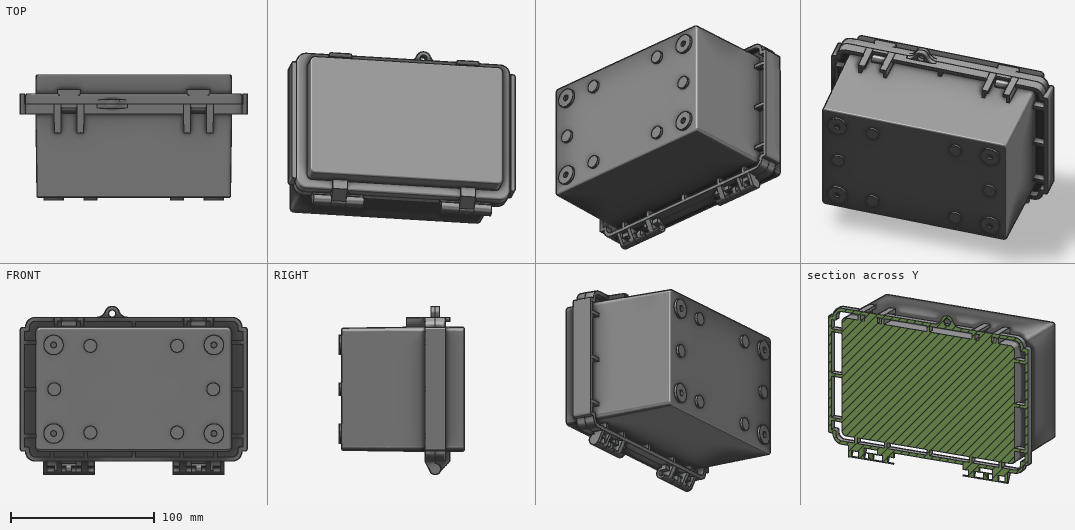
import cadquery as cq
import math


box_half_x = 68.3
box_half_z = 43.5
wall_draft = 0.8
wall_corner_radius = 3.6
wall_overlap = 1.6
end_edge_radius = 1.3
base_depth = 65.1
lid_height = 20.2

flange_half_x = 75.4
flange_half_z = 50.1
flange_corner_radius = 7.1
flange_thickness = 7.1
flange_edge_radius = 1.5
base_flange_draft = 1.0
rim_width = 2.8
pocket_bend_radius = 1.5
pocket_depth = 5.2

rail_half_x = 79.0
rail_half_z = flange_half_z - flange_corner_radius
rail_width = 3.2
rail_corner_radius = 1.6

rib_width = 2.5
side_rib_spacing = 32.5
lower_rib_places = (-56.9, -33.5, 0.0, 33.5, 56.9)

latch_x = 45.0
arm_inner = 5.5
arm_outer = 10.6
arm_tip_inset = 0.5
arm_tip_drop = 0.3
arm_plate = 2.5
arm_web = 2.5
arm_length = 20.0
latch_lip = 2.76
bar_radius = 4.0
bar_width = 10.5
bar_edge_radius = 0.8
tab_half_width = 7.9
tab_thickness = 2.8
tab_height = 10.1

ear_x = -15.0
ear_z = 52.6
ear_radius = 5.0
ear_half_thickness = 3.0
ear_foot_half = 10.6
ear_edge_radius = 0.6
ear_root = 1.6
ear_hole_diameter = 4.9

pin_z = -55.54
knuckle_radius = 3.87
hinge_root = 1.6
hinge_inner = 27.3
hinge_lid_inner = 40.1
hinge_lid_outer = 50.4
hinge_outer = 62.9
knuckle_shoulder_y = 3.6
knuckle_shoulder_z = pin_z - math.sqrt(knuckle_radius**2 - knuckle_shoulder_y**2)
groove_radius = 2.0
base_grooves = ((27.3, 31.8), (36.2, 40.1), (55.1, 60.4))
lid_grooves = ((40.1, 43.5), (47.1, 50.4))
recess_shoulder = (53.4, 55.1)

pad_height = 1.7
corner_pad_radius = 6.8
corner_pad_x = 55.8
corner_pad_z = 30.8
pad_hole_diameter = 4.1
small_pad_radius = 4.5
small_pad_x = 30.2
small_pad_z = 30.2
side_pad_x = 55.3


def block(x_min, x_max, y_min, y_max, z_min, z_max):
    """Box between the given limits."""
    size = (x_max - x_min, y_max - y_min, z_max - z_min)
    return cq.Workplane("XY").box(*size, centered=False).translate((x_min, y_min, z_min))


def y_plane(y=0):
    """Plane at height y with local axes +X and +Z; extrusions run towards -Y."""
    return cq.Workplane("XZ", origin=(0, y, 0))


def rounded_rectangle(half_x, half_z, radius, length, taper=0):
    """Rounded rectangle drawn on Y = 0 and extruded towards -Y (or +Y if length is negative)."""
    sketch = cq.Sketch().rect(2 * half_x, 2 * half_z).vertices().fillet(radius)
    return y_plane().placeSketch(sketch).extrude(length, taper=taper)


def walls(length):
    """Drafted box block with rounded end edges, reaching from Y = 0 to -length."""
    body = rounded_rectangle(box_half_x, box_half_z, wall_corner_radius, length, wall_draft)
    return body.faces("<Y" if length > 0 else ">Y").edges().fillet(end_edge_radius)


def padlock_ear():
    """Lug round a hole, blended tangentially into the flange top by a concave arc on each side."""
    rise = ear_z - flange_half_z
    blend_radius = (ear_foot_half**2 + rise**2 - ear_radius**2) / (2 * (rise + ear_radius))
    blend_z = flange_half_z + blend_radius
    slope = math.atan2(blend_z - ear_z, ear_foot_half)
    joint = (ear_radius * math.cos(slope), ear_z + ear_radius * math.sin(slope))
    middle = (slope + math.pi + 1.5 * math.pi) / 2
    blend_mid = (ear_foot_half + blend_radius * math.cos(middle), blend_z + blend_radius * math.sin(middle))
    root_z = flange_half_z - ear_root
    ear = (
        cq.Workplane("XZ", origin=(ear_x, ear_half_thickness, 0))
        .moveTo(-ear_foot_half, flange_half_z)
        .threePointArc((-blend_mid[0], blend_mid[1]), (-joint[0], joint[1]))
        .threePointArc((0, ear_z + ear_radius), joint)
        .threePointArc(blend_mid, (ear_foot_half, flange_half_z))
        .lineTo(ear_foot_half, root_z)
        .lineTo(-ear_foot_half, root_z)
        .close()
        .extrude(2 * ear_half_thickness)
    )
    ear = ear.faces("|Y").edges("%CIRCLE").fillet(ear_edge_radius)
    hole = (
        cq.Workplane("XZ", origin=(ear_x, ear_half_thickness, ear_z))
        .circle(ear_hole_diameter / 2)
        .extrude(2 * ear_half_thickness)
    )
    return ear.cut(hole)


def half_ear(y_min, y_max):
    """The part of the padlock ear between two Y limits."""
    keep = block(ear_x - ear_foot_half, ear_x + ear_foot_half, y_min, y_max, 0, ear_z + ear_radius)
    return padlock_ear().intersect(keep)


def knuckle(shoulder, x_min, x_max):
    """Pin cylinder joined to the flange by a prism; `shoulder` lists the (y, z) points of its outer side."""
    points = [(0, hinge_root - flange_half_z), *shoulder, (0, knuckle_shoulder_z)]
    plane = cq.Workplane("YZ", origin=(x_min, 0, 0))
    prism = plane.polyline(points).close().extrude(x_max - x_min)
    cylinder = plane.center(0, pin_z).circle(knuckle_radius).extrude(x_max - x_min)
    return prism.union(cylinder)


def pin_groove(x_min, x_max):
    """Cut that opens a knuckle towards -Y and leaves a round trough for the pin."""
    slot = block(x_min, x_max, -flange_thickness, 0, pin_z - groove_radius, pin_z + groove_radius)
    bore = cq.Workplane("YZ", origin=(x_min, 0, pin_z)).circle(groove_radius).extrude(x_max - x_min)
    return slot.union(bore)


def gusset_recess(x_min, x_max):
    """Cut that sets a base knuckle back to its pin cylinder, beside a full-depth gusset."""
    return block(x_min, x_max, -flange_thickness, -knuckle_radius, pin_z - knuckle_radius, -flange_half_z)


def base_hinge():
    """Two base knuckles on the +X side."""
    shoulder = [
        (-flange_thickness, hinge_root - flange_half_z),
        (-flange_thickness, -flange_half_z),
        (-knuckle_shoulder_y, knuckle_shoulder_z),
    ]
    hinge = knuckle(shoulder, hinge_inner, hinge_lid_inner)
    hinge = hinge.union(knuckle(shoulder, hinge_lid_outer, hinge_outer))
    for x_min, x_max in base_grooves:
        hinge = hinge.cut(pin_groove(x_min, x_max)).cut(gusset_recess(x_min, x_max))
    return hinge.cut(gusset_recess(*recess_shoulder))


def lid_hinge():
    """The lid knuckle between the base knuckles on the +X side, carried by an arm from the lid wall."""
    arm_root_z = wall_overlap - box_half_z
    shoulder = [
        (0, arm_root_z),
        (tab_height, arm_root_z),
        (tab_height, -flange_half_z),
        (knuckle_shoulder_y, knuckle_shoulder_z),
    ]
    hinge = knuckle(shoulder, hinge_lid_inner, hinge_lid_outer)
    for x_min, x_max in lid_grooves:
        hinge = hinge.cut(pin_groove(x_min, x_max))
    return hinge


def base_flange():
    """Flange with side rails, hollowed from its -Y side to leave a rim of even width."""
    outline = rounded_rectangle(
        flange_half_x, flange_half_z, flange_corner_radius, flange_thickness, base_flange_draft
    )
    rails = rounded_rectangle(rail_half_x, rail_half_z, rail_corner_radius, flange_thickness)
    return outline.union(rails).cut(flange_pocket())


def flange_pocket():
    """Recess of the base flange, with its inward corners beside the rails rounded."""
    half_x = flange_half_x - rim_width
    half_z = flange_half_z - rim_width
    side_half_x = rail_half_x - rim_width
    side_half_z = rail_half_z - rim_width
    pocket = rounded_rectangle(half_x, half_z, flange_corner_radius - rim_width, pocket_depth)
    pocket = pocket.union(y_plane().rect(2 * side_half_x, 2 * side_half_z).extrude(pocket_depth))
    for x in (-half_x, half_x):
        for z in (-side_half_z, side_half_z):
            bend = cq.NearestToPointSelector((x, -pocket_depth / 2, z))
            pocket = pocket.edges(bend).fillet(pocket_bend_radius)
    return pocket.translate((0, pocket_depth - flange_thickness, 0))


def raised_rails():
    """The parts of the side rails that stand up past the parting plane."""
    rails = rounded_rectangle(rail_half_x, rail_half_z, rail_corner_radius, -flange_thickness)
    inner = rail_half_x - rail_width
    return rails.cut(block(-inner, inner, 0, flange_thickness, -rail_half_z, rail_half_z))


def flange_ribs():
    """Ribs that bridge the flange pocket between rim and wall."""
    half = rib_width / 2
    ribs = cq.Workplane("XY")
    for z in (-side_rib_spacing, 0, side_rib_spacing):
        for x_min in (-rail_half_x + half, box_half_x - half):
            x_max = x_min + rail_half_x - box_half_x
            ribs = ribs.add(block(x_min, x_max, -flange_thickness, 0, z - half, z + half))
    low = flange_half_z - half
    high = box_half_z - half
    for x in lower_rib_places:
        ribs = ribs.add(block(x - half, x + half, -flange_thickness, 0, -low, -high))
    ribs = ribs.add(block(-half, half, -flange_thickness, 0, high, low))
    return ribs.combine()


def latch_arm():
    """L-shaped arm on the +X side of a latch at X = 0, tapering towards its tip."""

    def profile(inset, drop):
        top = flange_half_z - drop
        outer = arm_outer - inset
        web = arm_outer - arm_web
        plate = flange_half_z - arm_plate
        foot = box_half_z - wall_overlap
        return [(arm_inner, top), (outer, top), (outer, foot), (web, foot), (web, plate), (arm_inner, plate)]

    return (
        y_plane()
        .polyline(profile(0, 0))
        .close()
        .workplane(offset=arm_length)
        .polyline(profile(arm_tip_inset, arm_tip_drop))
        .close()
        .loft(ruled=True)
    )


def latch_bar():
    """Quarter-round bar between the arms of a latch at X = 0."""
    bar = (
        cq.Workplane("YZ", origin=(-bar_width / 2, -latch_lip, box_half_z))
        .circle(bar_radius)
        .extrude(bar_width)
        .edges()
        .fillet(bar_edge_radius)
    )
    below = box_half_z - wall_overlap
    keep = block(-bar_width, bar_width, -flange_thickness, 0, below, flange_half_z)
    return bar.intersect(keep)


def end_pads():
    """Round pads on the end face; those in the corners have a screw hole."""
    pads = y_plane(-base_depth).rect(2 * corner_pad_x, 2 * corner_pad_z, forConstruction=True).vertices()
    pads = pads.circle(corner_pad_radius).circle(pad_hole_diameter / 2).extrude(pad_height)
    small = y_plane(-base_depth).rect(2 * small_pad_x, 2 * small_pad_z, forConstruction=True).vertices()
    small = small.circle(small_pad_radius).extrude(pad_height)
    side = y_plane(-base_depth).pushPoints([(-side_pad_x, 0), (side_pad_x, 0)])
    side = side.circle(small_pad_radius).extrude(pad_height)
    return pads.union(small).union(side)


def make_base():
    base = base_flange().union(flange_ribs())
    for x in (-latch_x, latch_x):
        gap = block(-arm_inner, arm_inner, -flange_thickness, -latch_lip, 0, flange_half_z)
        base = base.cut(gap.translate((x, 0, 0)))
    base = base.union(walls(base_depth)).union(end_pads())
    for x in (-latch_x, latch_x):
        arm = latch_arm().translate((x, 0, 0))
        base = base.union(arm).union(arm.mirror("YZ", (x, 0, 0)))
        base = base.union(latch_bar().translate((x, 0, 0)))
    base = base.union(base_hinge()).union(base_hinge().mirror("YZ"))
    base = base.union(half_ear(-ear_half_thickness, 0))
    return base.union(raised_rails(), clean=False)


def latch_tab():
    """Tab above a latch at X = 0, flush with the flange top."""
    tab = block(
        -tab_half_width, tab_half_width, 0, tab_height, flange_half_z - tab_thickness, flange_half_z
    )
    return tab.faces(">Z").edges("|Y").fillet(tab_thickness / 2)


def make_lid():
    lid = rounded_rectangle(flange_half_x, flange_half_z, flange_corner_radius, -flange_thickness)
    lid = lid.faces(">Y").edges().fillet(flange_edge_radius)
    lid = lid.union(walls(-lid_height))
    for x in (-latch_x, latch_x):
        lid = lid.union(latch_tab().translate((x, 0, 0)))
    lid = lid.union(lid_hinge()).union(lid_hinge().mirror("YZ"))
    return lid.union(half_ear(0, ear_half_thickness))


base = make_base()
lid = make_lid()

result = cq.Compound.makeCompound([base.solids().val(), lid.solids().val()])